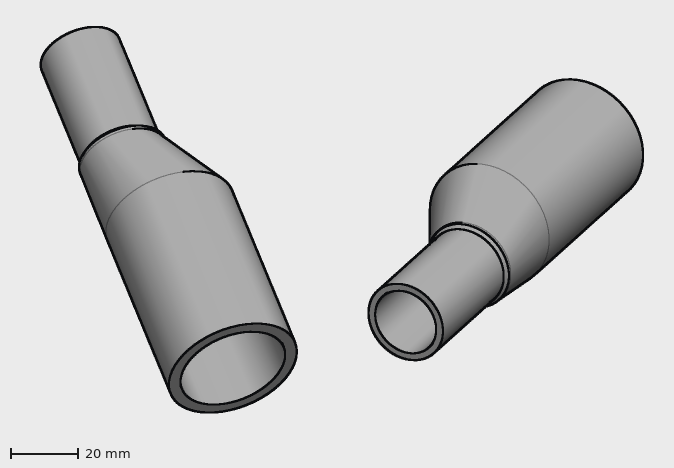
import cadquery as cq

total_length = 126.0
large_diameter = 40.0
large_wall = 3.7
small_diameter = 25.0
small_wall = 2.3
collar_diameter = 27.2
collar_start = 38.9
taper_start = 41.2
taper_end = 65.8

large_radius = large_diameter / 2
small_radius = small_diameter / 2
collar_radius = collar_diameter / 2
large_bore_radius = large_radius - large_wall
small_bore_radius = small_radius - small_wall
collar_chamfer = collar_radius - small_radius

small_axis_y = collar_radius - large_radius


def cylinder(start, end, radius, axis_y):
    """Solid cylinder along X between two stations."""
    plane = cq.Workplane("YZ", origin=(start, axis_y, 0))
    return plane.circle(radius).extrude(end - start)


def taper(small_end_radius, large_end_radius):
    """Eccentric cone from the small axis to the large axis."""
    return (
        cq.Workplane("YZ", origin=(taper_start, small_axis_y, 0))
        .circle(small_end_radius)
        .workplane(offset=taper_end - taper_start)
        .center(-small_axis_y, 0)
        .circle(large_end_radius)
        .loft(ruled=True)
    )


small_pipe = cylinder(0, collar_start, small_radius, small_axis_y)
collar = cylinder(collar_start, taper_start, collar_radius, small_axis_y)
collar = collar.faces("<X").chamfer(collar_chamfer)
large_pipe = cylinder(taper_end, total_length, large_radius, 0)
body = small_pipe.union(collar).union(taper(collar_radius, large_radius)).union(large_pipe)

small_bore = cylinder(0, taper_start, small_bore_radius, small_axis_y)
large_bore = cylinder(taper_end, total_length, large_bore_radius, 0)
bore = small_bore.union(taper(small_bore_radius, large_bore_radius)).union(large_bore)

result = body.cut(bore)